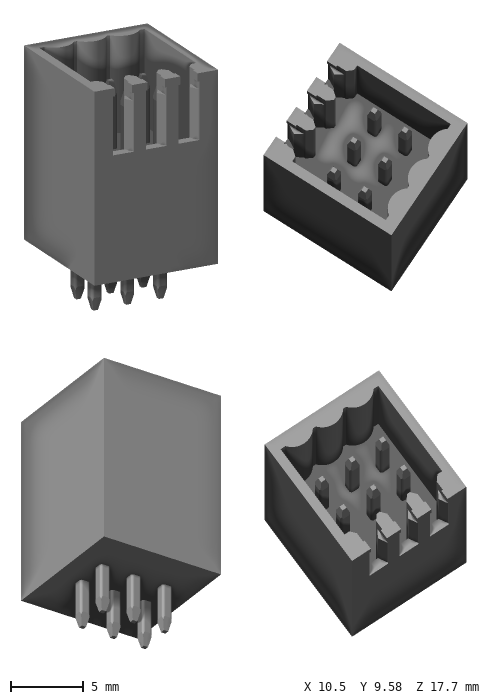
import cadquery as cq

pitch = 2.54
rows = 3
columns = 2
end_margin = 2.25
body_x = 10.5
body_y = (rows - 1) * pitch + 2 * end_margin
body_z = 14.2
left_face = -body_x / 2
right_face = body_x / 2
row_positions = [(row - (rows - 1) / 2) * pitch for row in range(rows)]

cavity_floor = 7.1
side_wall = 0.7
left_wall = 0.92
right_wall = 1.9
cavity_left = left_face + left_wall
cavity_right = right_face - right_wall
cavity_y = body_y - 2 * side_wall

bulge_height = 0.57
bulge_half_width = 1.15

slot_half_width = 0.8
lead_in_x = 0.42
lead_in_half_width = 1.15
sill_thickness = 0.74
sill_height = 9.3
sill_x = right_face - sill_thickness

tab_height = 0.6
mouth_half_width = 0.675

rib_top = 13.0
rib_height = 0.36
rib_inner_run = 0.58
rib_outer_run = 0.64

pin_width = 0.81
pin_corner_radius = 0.2
pin_tip_width = 0.35
pin_tip_length = 1.0
pin_top = 12.05
pin_bottom = -3.5
first_column = left_face + 3.65
column_positions = [first_column + column * pitch for column in range(columns)]


def block(x_min, x_max, y_min, y_max, z_min, z_max):
    """Box given by its limits along each axis."""
    return (
        cq.Workplane("XY")
        .box(x_max - x_min, y_max - y_min, z_max - z_min, centered=False)
        .translate((x_min, y_min, z_min))
    )


def prism(points, z_min, z_max):
    """Vertical prism over a closed polygon."""
    return cq.Workplane("XY").workplane(offset=z_min).polyline(points).close().extrude(z_max - z_min)


def keying_bulge(y):
    """Circular-segment column standing on the left cavity wall."""
    return (
        cq.Workplane("XY")
        .workplane(offset=cavity_floor)
        .moveTo(left_face + left_wall / 2, y - bulge_half_width)
        .lineTo(cavity_left, y - bulge_half_width)
        .threePointArc((cavity_left + bulge_height, y), (cavity_left, y + bulge_half_width))
        .lineTo(left_face + left_wall / 2, y + bulge_half_width)
        .close()
        .extrude(body_z - cavity_floor)
    )


def latch_slot(y):
    """Slot with a flared entry; its outer end is cut through only above the sill."""
    entry = prism(
        [
            (cavity_right, y - lead_in_half_width),
            (cavity_right + lead_in_x, y - slot_half_width),
            (sill_x, y - slot_half_width),
            (sill_x, y + slot_half_width),
            (cavity_right + lead_in_x, y + slot_half_width),
            (cavity_right, y + lead_in_half_width),
        ],
        cavity_floor,
        body_z,
    )
    window = block(
        sill_x, right_face, y - slot_half_width, y + slot_half_width, sill_height, body_z - tab_height
    )
    mouth = block(sill_x, right_face, y - mouth_half_width, y + mouth_half_width, sill_height, body_z)
    return entry.union(window).union(mouth)


def snap_rib(y, side):
    """Triangular rib on one flank of the slot at y; side is +1 or -1."""
    flank = y + side * slot_half_width
    root = y + side * lead_in_half_width
    return prism(
        [
            (sill_x - rib_inner_run, root),
            (sill_x - rib_inner_run, flank),
            (sill_x, flank - side * rib_height),
            (sill_x + rib_outer_run, flank),
            (sill_x + rib_outer_run, root),
        ],
        cavity_floor,
        rib_top,
    )


def pin_taper(shoulder_z, length):
    """Square frustum narrowing from the shoulder; a negative length points down."""
    return (
        cq.Workplane("XY")
        .workplane(offset=shoulder_z)
        .rect(pin_width, pin_width)
        .workplane(offset=length)
        .rect(pin_tip_width, pin_tip_width)
        .loft(combine=True)
    )


def contact_pin():
    """Round-cornered square pin on the Z axis, tapered at both ends."""
    post = (
        cq.Workplane("XY")
        .workplane(offset=pin_bottom)
        .rect(pin_width, pin_width)
        .extrude(pin_top - pin_bottom)
        .edges("|Z")
        .fillet(pin_corner_radius)
    )
    upper_shoulder = pin_top - pin_tip_length
    lower_shoulder = pin_bottom + pin_tip_length
    half = pin_width / 2
    envelope = (
        block(-half, half, -half, half, lower_shoulder, upper_shoulder)
        .union(pin_taper(upper_shoulder, pin_tip_length))
        .union(pin_taper(lower_shoulder, -pin_tip_length))
    )
    return post.intersect(envelope)


def housing():
    """Shrouded housing with bulges, latch slots and snap ribs."""
    body = block(left_face, right_face, -body_y / 2, body_y / 2, 0, body_z)
    body = body.cut(
        block(cavity_left, cavity_right, -cavity_y / 2, cavity_y / 2, cavity_floor, body_z)
    )
    for y in row_positions:
        body = body.union(keying_bulge(y))
        body = body.cut(latch_slot(y))
        for side in (-1, 1):
            body = body.union(snap_rib(y, side))
    return body


result = housing()
pin = contact_pin()
for pin_x in column_positions:
    for pin_y in row_positions:
        result = result.union(pin.translate((pin_x, pin_y, 0)))